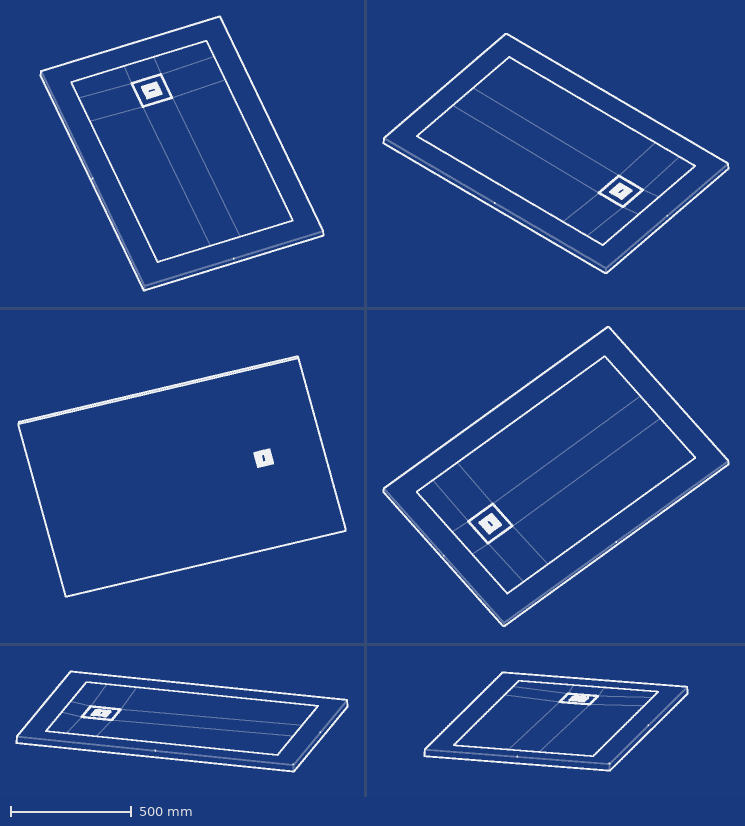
import cadquery as cq

LENGTH = 1200.0
WIDTH = 800.0
HEIGHT = 30.0
SIDE_DRAFT = 1.8
CORNER_RADIUS = 4.0
EDGE_RADIUS = 2.0

RIM_WIDTH = 100.0
RIM_FALL = 2.0
RIM_LAND = 0.6
BASIN_LIP = 0.2
DISH_STEPS = 40
DISH_TOLERANCE = 0.005
BASIN_FALL = 12.0
CROSS_CHANNEL_HALF_WIDTH = 65.0
CHANNEL_HALF_WIDTH = 66.0

DRAIN_X = -349.0
COVER_SIZE = 127.0
RECESS_SIZE = 132.0
GAP_DEPTH = 2.0

SLOT_WIDTH = 5.0
SLOT_PITCH = 10.0
RING_COUNT = 3
OUTER_SLOT_OFFSET = 30.0

BASIN_LENGTH = LENGTH - 2 * RIM_WIDTH
BASIN_WIDTH = WIDTH - 2 * RIM_WIDTH
BASIN_Z = HEIGHT - RIM_FALL - BASIN_LIP
DRAIN_Z = BASIN_Z - BASIN_FALL


def rounded_rectangle(length, width, radius):
    return cq.Sketch().rect(length, width).vertices().fillet(radius)


def loft_between(lower, lower_z, upper, upper_z):
    """Solid with straight sides from one sketch up to another."""
    upper = upper.moved(cq.Location(cq.Vector(0, 0, upper_z - lower_z)))
    return cq.Workplane("XY", origin=(0, 0, lower_z)).placeSketch(lower, upper).loft(ruled=True)


def body():
    """Slab that narrows by the draft from its base to its top, with the top edge rounded."""
    base = rounded_rectangle(LENGTH, WIDTH, CORNER_RADIUS)
    top = rounded_rectangle(LENGTH - 2 * SIDE_DRAFT, WIDTH - 2 * SIDE_DRAFT, CORNER_RADIUS)
    slab = loft_between(base, 0, top, HEIGHT)
    return slab.faces(">Z").edges().fillet(EDGE_RADIUS)


def patch(corners):
    """Face through four corners, given in order around it; it twists if they are not coplanar."""
    a, b, c, d = [cq.Vector(*corner) for corner in corners]
    return cq.Face.makeRuledSurface(cq.Edge.makeLine(a, b), cq.Edge.makeLine(d, c))


def grid_hollow(xs, ys, heights, cap_z):
    """Solid above a 3 x 3 grid of patches, closed by a flat cap and upright sides.

    `heights[row][column]` is the height at (xs[column], ys[row]).
    """
    last = len(xs) - 1

    def point(column, row):
        return (xs[column], ys[row], heights[row][column])

    def lifted(column, row):
        return (xs[column], ys[row], cap_z)

    faces = []
    for row in range(last):
        for column in range(last):
            around = [(column, row), (column + 1, row), (column + 1, row + 1), (column, row + 1)]
            faces.append(patch([point(*node) for node in around]))
    outline = [(i, 0) for i in range(last)]
    outline += [(last, i) for i in range(last)]
    outline += [(i, last) for i in range(last, 0, -1)]
    outline += [(0, i) for i in range(last, 0, -1)]
    for start, end in zip(outline, outline[1:] + outline[:1]):
        faces.append(patch([point(*start), point(*end), lifted(*end), lifted(*start)]))
    cap = cq.Wire.makePolygon([cq.Vector(*lifted(*node)) for node in outline], close=True)
    faces.append(cq.Face.makeFromWires(cap))
    return cq.Workplane(cq.Solid.makeSolid(cq.Shell.makeShell(faces)))


def eased(distance, span):
    """Rise from 0 to 1 over the span, steep at its start and level at its end."""
    t = min(distance / span, 1)
    return t * (2 - t)


def rim_hollow():
    """Shallow dish whose one smooth surface is the rim, level where the basin begins."""
    inset = SIDE_DRAFT + EDGE_RADIUS + RIM_LAND
    half_x = LENGTH / 2 - inset
    half_y = WIDTH / 2 - inset
    span = RIM_WIDTH - inset

    def surface_point(i, j):
        x = half_x * (2 * i / DISH_STEPS - 1)
        y = half_y * (2 * j / DISH_STEPS - 1)
        fall = RIM_FALL * eased(half_x - abs(x), span) * eased(half_y - abs(y), span)
        return cq.Vector(x, y, HEIGHT - fall)

    steps = range(DISH_STEPS + 1)
    grid = [[surface_point(i, j) for j in steps] for i in steps]
    surface = cq.Face.makeSplineApprox(grid, tol=DISH_TOLERANCE)
    return cq.Workplane(cq.Solid.extrudeLinear(surface, cq.Vector(0, 0, HEIGHT)))


def basin_hollow():
    """Hollow over the basin floor: four straight channels and four twisted panels fall to the drain."""
    end_x = BASIN_LENGTH / 2
    end_y = BASIN_WIDTH / 2
    xs = [-end_x, DRAIN_X - CROSS_CHANNEL_HALF_WIDTH, DRAIN_X + CROSS_CHANNEL_HALF_WIDTH, end_x]
    ys = [-end_y, -CHANNEL_HALF_WIDTH, CHANNEL_HALF_WIDTH, end_y]
    level_row = [BASIN_Z] * len(xs)
    drain_row = [BASIN_Z, DRAIN_Z, DRAIN_Z, BASIN_Z]
    return grid_hollow(xs, ys, [level_row, drain_row, drain_row, level_row], HEIGHT)


def cover_gap():
    """Square groove between the drain recess and its cover."""
    return (
        cq.Workplane("XY", origin=(DRAIN_X, 0, DRAIN_Z - GAP_DEPTH))
        .rect(RECESS_SIZE, RECESS_SIZE)
        .rect(COVER_SIZE, COVER_SIZE)
        .extrude(HEIGHT)
    )


def grate():
    """Nested rings of through slots; the innermost ring has only its two long slots."""
    slots = cq.Workplane("XY", origin=(DRAIN_X, 0, 0))
    for ring in range(RING_COUNT):
        offset = OUTER_SLOT_OFFSET - ring * SLOT_PITCH
        long_side = 2 * offset + SLOT_WIDTH
        short_side = long_side - 2 * SLOT_PITCH
        slots = slots.pushPoints([(-offset, 0), (offset, 0)]).rect(SLOT_WIDTH, long_side)
        if ring < RING_COUNT - 1:
            slots = slots.pushPoints([(0, -offset), (0, offset)]).rect(short_side, SLOT_WIDTH)
    return slots.extrude(HEIGHT)


result = body().cut(rim_hollow()).cut(basin_hollow()).cut(cover_gap()).cut(grate())